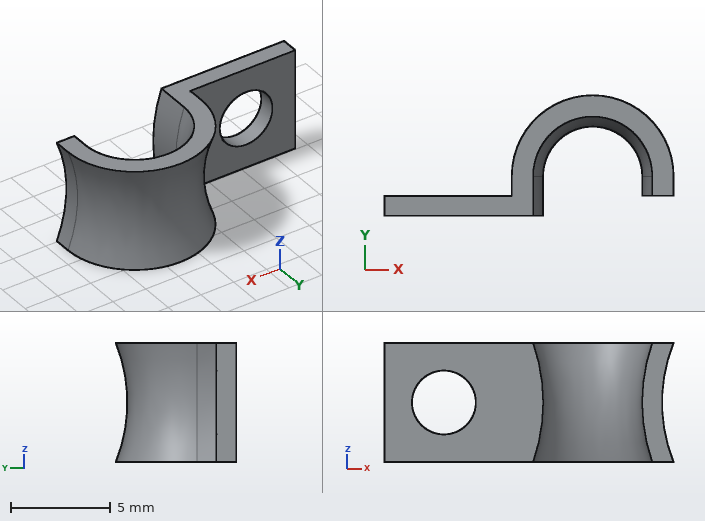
import cadquery as cq

length = 14.58
height = 6.0
tab_thickness = 1.0
arm_length = 0.99
outer_edge_radius = 4.08
outer_waist_radius = 3.5
inner_edge_radius = 3.0
inner_waist_radius = 2.5
hole_diameter = 3.21
hole_from_tab_end = 3.0

half_height = height / 2
tab_end_x = outer_edge_radius - length


def wall_section(side):
    """Waisted wall section in the XZ plane: side is -1 for left, 1 for right."""
    return (
        cq.Workplane("XZ")
        .moveTo(side * inner_edge_radius, -half_height)
        .lineTo(side * outer_edge_radius, -half_height)
        .threePointArc((side * outer_waist_radius, 0), (side * outer_edge_radius, half_height))
        .lineTo(side * inner_edge_radius, half_height)
        .threePointArc((side * inner_waist_radius, 0), (side * inner_edge_radius, -half_height))
        .close()
    )


def tab():
    """Flat mounting tab that ends along the curved inner face of the left arm."""
    return (
        cq.Workplane("XZ", origin=(0, -arm_length, 0))
        .moveTo(tab_end_x, -half_height)
        .lineTo(-inner_edge_radius, -half_height)
        .threePointArc((-inner_waist_radius, 0), (-inner_edge_radius, half_height))
        .lineTo(tab_end_x, half_height)
        .close()
        .moveTo(tab_end_x + hole_from_tab_end, 0)
        .circle(hole_diameter / 2)
        .extrude(tab_thickness)
    )


bend = wall_section(1).revolve(180, (0, 0, 0), (0, 1, 0))

right_arm = wall_section(1).extrude(arm_length)
left_arm = wall_section(-1).extrude(arm_length)

result = bend.union(right_arm).union(left_arm).union(tab())